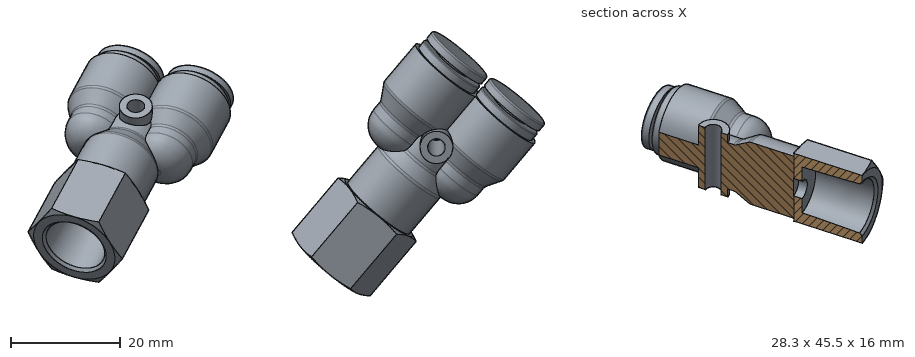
import cadquery as cq
import math


TOTAL_LENGTH = 45.45
OVERALL_WIDTH = 28.3
TUBE_DIAMETER = 14.7
NECK_DIAMETER = 11.0
TUBE_RADIUS = TUBE_DIAMETER / 2
NECK_RADIUS = NECK_DIAMETER / 2
BRANCH_OFFSET = (OVERALL_WIDTH - TUBE_DIAMETER) / 2
BRANCH_CENTERS = (-BRANCH_OFFSET, BRANCH_OFFSET)

HEX_ACROSS_FLATS = 16.0
HEX_ACROSS_CORNERS = HEX_ACROSS_FLATS / math.cos(math.pi / 6)
HEX_LENGTH = 14.05
HEX_FACE_DIAMETER = 15.9
HEX_CHAMFER_LENGTH = 0.45
BORE_MOUTH_DIAMETER = 12.5
BORE_CHAMFER_LENGTH = 0.55
BORE_DIAMETER = 11.45
BORE_FLOOR_DIAMETER = 10.65
BORE_DEPTH = 12.25
PASSAGE_DIAMETER = 4.0

TRUNK_SHOULDER = 23.0
TRUNK_NECK_START = 26.0
DOME_END = 22.95
BRANCH_NECK_END = 29.45
BRANCH_SHOULDER = 32.6
BRANCH_END = 41.6
SHOULDER_FILLET = 1.0
DOME_FLAT_DIAMETER = 2.0
DOME_FILLET = (NECK_DIAMETER - DOME_FLAT_DIAMETER) / 2

EYELET_DIAMETER = 6.0
EYELET_HOLE_DIAMETER = 3.2
EYELET_Y = 30.5

COLLAR_DIAMETER = 13.15
COLLAR_END = 43.2
COLLAR_FILLET = 0.2
STEM_DIAMETER = 7.5
BUTTON_WIDTH = 13.0
BUTTON_HEIGHT = 11.6
BUTTON_START = 43.8
BUTTON_FILLET = 0.3


def section_at(y):
    """Sketch plane across the Y axis at y, extruding toward +Y."""
    return cq.Workplane("XZ", origin=(0, y, 0)).transformed(rotate=(0, 180, 0))


def cylinder(diameter, start, end):
    """Cylinder on the Y axis."""
    return section_at(start).circle(diameter / 2).extrude(end - start)


def revolved(outline):
    """Turn a closed (radius, y) outline about the Y axis."""
    return cq.Workplane("XY").polyline(outline).close().revolve(360, (0, 0, 0), (0, 1, 0))


def circle_at(y):
    """Selector for the circular edges centred on the Y axis at y."""
    tolerance = 0.005
    return cq.selectors.BoxSelector(
        (-tolerance, y - tolerance, -tolerance), (tolerance, y + tolerance, tolerance)
    )


def make_hex_socket():
    prism = section_at(0).polygon(6, HEX_ACROSS_CORNERS).extrude(HEX_LENGTH)
    face_radius = HEX_FACE_DIAMETER / 2
    corner_radius = HEX_ACROSS_CORNERS / 2
    chamfer_envelope = revolved([
        (0, 0),
        (face_radius, 0),
        (corner_radius, HEX_CHAMFER_LENGTH),
        (corner_radius, HEX_LENGTH - HEX_CHAMFER_LENGTH),
        (face_radius, HEX_LENGTH),
        (0, HEX_LENGTH),
    ])
    tapered_bore = revolved([
        (0, 0),
        (BORE_MOUTH_DIAMETER / 2, 0),
        (BORE_DIAMETER / 2, BORE_CHAMFER_LENGTH),
        (BORE_FLOOR_DIAMETER / 2, BORE_DEPTH),
        (0, BORE_DEPTH),
    ])
    passage = cylinder(PASSAGE_DIAMETER, 0, HEX_LENGTH)
    return prism.intersect(chamfer_envelope).cut(tapered_bore).cut(passage)


def make_trunk():
    trunk = revolved([
        (0, HEX_LENGTH),
        (TUBE_RADIUS, HEX_LENGTH),
        (TUBE_RADIUS, TRUNK_SHOULDER),
        (NECK_RADIUS, TRUNK_NECK_START),
        (NECK_RADIUS, EYELET_Y),
        (0, EYELET_Y),
    ])
    for y in (TRUNK_SHOULDER, TRUNK_NECK_START):
        trunk = trunk.edges(circle_at(y)).fillet(SHOULDER_FILLET)
    return trunk


def make_branch():
    branch = revolved([
        (0, DOME_END),
        (NECK_RADIUS, DOME_END),
        (NECK_RADIUS, BRANCH_NECK_END),
        (TUBE_RADIUS, BRANCH_SHOULDER),
        (TUBE_RADIUS, BRANCH_END),
        (0, BRANCH_END),
    ])
    for y in (BRANCH_NECK_END, BRANCH_SHOULDER):
        branch = branch.edges(circle_at(y)).fillet(SHOULDER_FILLET)
    return branch.edges(circle_at(DOME_END)).fillet(DOME_FILLET)


def make_housing():
    housing = make_trunk()
    for x in BRANCH_CENTERS:
        housing = housing.union(make_branch().translate((x, 0, 0)))
    eyelet_plane = cq.Workplane("XY", origin=(0, EYELET_Y, -TUBE_RADIUS))
    eyelet = eyelet_plane.circle(EYELET_DIAMETER / 2).extrude(TUBE_DIAMETER)
    eyelet_hole = eyelet_plane.circle(EYELET_HOLE_DIAMETER / 2).extrude(TUBE_DIAMETER)
    return housing.union(eyelet).cut(eyelet_hole)


def make_collar():
    collar = cylinder(COLLAR_DIAMETER, BRANCH_END, COLLAR_END)
    return collar.faces(">Y").edges().fillet(COLLAR_FILLET)


def make_release_button():
    """Oval push plate on a round stem that stands on the collar."""
    plate = section_at(BUTTON_START).ellipse(BUTTON_WIDTH / 2, BUTTON_HEIGHT / 2)
    plate = plate.extrude(TOTAL_LENGTH - BUTTON_START)
    plate = plate.faces(">Y").edges().fillet(BUTTON_FILLET)
    return plate.union(cylinder(STEM_DIAMETER, COLLAR_END, BUTTON_START))


hex_socket = make_hex_socket()
housing = make_housing()
collars = [make_collar().translate((x, 0, 0)) for x in BRANCH_CENTERS]
release_buttons = [make_release_button().translate((x, 0, 0)) for x in BRANCH_CENTERS]

result = cq.Compound.makeCompound([
    hex_socket.val(),
    housing.val(),
    *[collar.val() for collar in collars],
    *[button.val() for button in release_buttons],
])